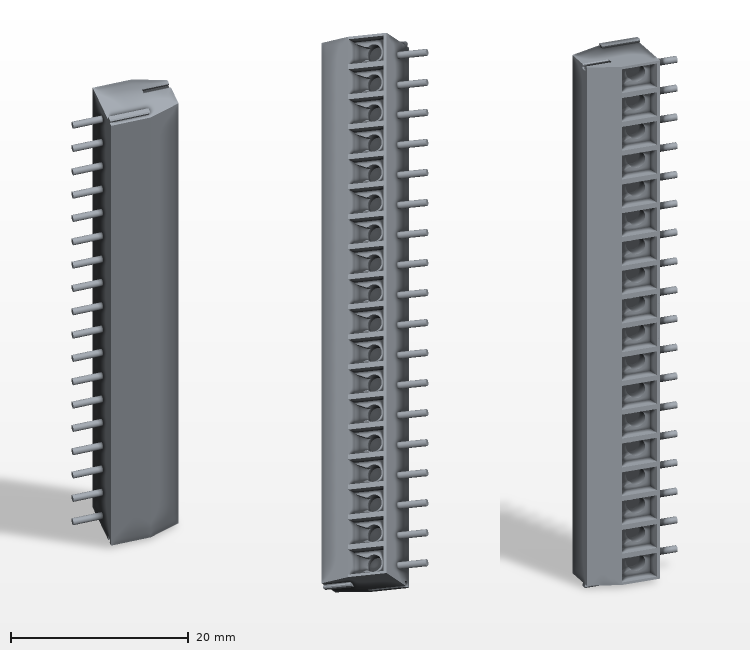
import cadquery as cq

POLES = 18
PITCH = 3.5

BODY_LENGTH = POLES * PITCH
BODY_WIDTH = 6.8
BODY_HEIGHT = 8.4
SHOULDER_HEIGHT = 4.68
TOP_WIDTH = 4.1
PIN_OFFSET = 0.1
BODY_LEFT = -BODY_WIDTH / 2 - PIN_OFFSET
BODY_RIGHT = BODY_LEFT + BODY_WIDTH
TAPER = (BODY_WIDTH - TOP_WIDTH) / 2

PIN_DIAMETER = 0.8
PIN_LENGTH = 3.5

POCKET_BOTTOM = 0.4
POCKET_TOP = SHOULDER_HEIGHT
POCKET_WIDTH = 2.9
POCKET_DEPTH = 1.5
POCKET_DRAFT = 0.2
FLOOR_TOP = POCKET_TOP - POCKET_DRAFT
FLOOR_X = BODY_LEFT + POCKET_DEPTH

HOLE_DIAMETER = 2.0
HOLE_HEIGHT = 2.2
HOLE_DEPTH = 1.5
FUNNEL_DEPTH = 0.8
FUNNEL_RAMP = 0.32
FUNNEL_THROAT_HEIGHT = 3.1
FUNNEL_MOUTH_WIDTH = 2.6
FUNNEL_THROAT_WIDTH = 1.5

RIB_HEIGHT = 0.48
GROOVE_DEPTH = 0.58
TIP_CHAMFER_HEIGHT = 0.15
DOVETAIL_SHOULDER_WIDTH = 0.85
DOVETAIL_TIP_WIDTH = 0.6
DOVETAIL_NECK_WIDTH = 0.5
DOVETAIL_END_SLANT = 0.18
LOWER_DOVETAIL_X = BODY_RIGHT - 0.77
LOWER_DOVETAIL_LENGTH = 4.75
UPPER_DOVETAIL_X = BODY_LEFT + 2.2
UPPER_DOVETAIL_LENGTH = 3.4
UPPER_GROOVE_MOUTH_WIDTH = 0.9
UPPER_GROOVE_MOUTH_DEPTH = 0.12


def make_housing():
    """Housing section with tapered upper flanks, extruded along Z."""
    section = [
        (BODY_LEFT, 0),
        (BODY_RIGHT, 0),
        (BODY_RIGHT, SHOULDER_HEIGHT),
        (BODY_RIGHT - TAPER, BODY_HEIGHT),
        (BODY_LEFT + TAPER, BODY_HEIGHT),
        (BODY_LEFT, SHOULDER_HEIGHT),
    ]
    return cq.Workplane("XY").polyline(section).close().extrude(BODY_LENGTH)


def make_pocket(pole_z):
    """Rectangular pocket in the -X side; its Y walls lean in towards the floor."""
    section = [
        (BODY_LEFT, POCKET_BOTTOM),
        (FLOOR_X, POCKET_BOTTOM + POCKET_DRAFT),
        (FLOOR_X, FLOOR_TOP),
        (BODY_LEFT, POCKET_TOP),
    ]
    start = cq.Workplane("XY").workplane(offset=pole_z - POCKET_WIDTH / 2)
    return start.polyline(section).close().extrude(POCKET_WIDTH)


def make_wire_hole(pole_z):
    """Blind round hole in the pocket floor."""
    plane = cq.Workplane("YZ", origin=(FLOOR_X, 0, 0))
    return plane.center(HOLE_HEIGHT, pole_z).circle(HOLE_DIAMETER / 2).extrude(HOLE_DEPTH)


def make_funnel(pole_z):
    """Shallow funnel from the pocket's upper wall to the wire hole, with a ramped upper end."""
    half_mouth = FUNNEL_MOUTH_WIDTH / 2
    half_throat = FUNNEL_THROAT_WIDTH / 2
    outline = [
        (FLOOR_TOP, pole_z - half_mouth),
        (FLOOR_TOP, pole_z + half_mouth),
        (FUNNEL_THROAT_HEIGHT, pole_z + half_throat),
        (HOLE_HEIGHT, pole_z + half_throat),
        (HOLE_HEIGHT, pole_z - half_throat),
        (FUNNEL_THROAT_HEIGHT, pole_z - half_throat),
    ]
    side = [
        (FLOOR_X, FLOOR_TOP),
        (FLOOR_X + FUNNEL_DEPTH, FLOOR_TOP - FUNNEL_RAMP),
        (FLOOR_X + FUNNEL_DEPTH, HOLE_HEIGHT),
        (FLOOR_X, HOLE_HEIGHT),
    ]
    plan = cq.Workplane("YZ", origin=(FLOOR_X, 0, 0)).polyline(outline).close().extrude(FUNNEL_DEPTH)
    start = cq.Workplane("XY").workplane(offset=pole_z - half_mouth)
    return plan.intersect(start.polyline(side).close().extrude(FUNNEL_MOUTH_WIDTH))


def make_pin(pole_z):
    """Round solder pin below the housing."""
    return cq.Workplane("XZ").center(0, pole_z).circle(PIN_DIAMETER / 2).extrude(PIN_LENGTH)


def make_dovetail(center_x, root_z, height, open_y, inner_y):
    """Dovetail bar standing on root_z towards +Z, flush at open_y, slanted at its inner end."""
    tip_z = root_z + height
    half_neck = DOVETAIL_NECK_WIDTH / 2
    half_shoulder = DOVETAIL_SHOULDER_WIDTH / 2
    half_tip = DOVETAIL_TIP_WIDTH / 2
    shoulder_z = tip_z - TIP_CHAMFER_HEIGHT
    profile = [
        (center_x - half_neck, root_z),
        (center_x + half_neck, root_z),
        (center_x + half_shoulder, shoulder_z),
        (center_x + half_tip, tip_z),
        (center_x - half_tip, tip_z),
        (center_x - half_shoulder, shoulder_z),
    ]
    inward = 1 if inner_y > open_y else -1
    side = [
        (open_y, root_z),
        (inner_y - inward * DOVETAIL_END_SLANT, root_z),
        (inner_y, tip_z),
        (open_y, tip_z),
    ]
    bar = cq.Workplane("XZ", origin=(0, BODY_HEIGHT, 0)).polyline(profile).close().extrude(BODY_HEIGHT)
    start = cq.Workplane("YZ", origin=(center_x - half_shoulder, 0, 0))
    return bar.intersect(start.polyline(side).close().extrude(DOVETAIL_SHOULDER_WIDTH))


def mirror_to(dovetail, face_z):
    """Flip a dovetail that stands on face_z so that it hangs below it."""
    return dovetail.mirror("XY", (0, 0, face_z))


def lower_dovetail(root_z, height):
    """Dovetail near the +X side, open at the pin face."""
    return make_dovetail(LOWER_DOVETAIL_X, root_z, height, 0, LOWER_DOVETAIL_LENGTH)


def upper_dovetail(root_z, height):
    """Dovetail left of centre, open at the narrow +Y face."""
    inner_y = BODY_HEIGHT - UPPER_DOVETAIL_LENGTH
    return make_dovetail(UPPER_DOVETAIL_X, root_z, height, BODY_HEIGHT, inner_y)


def upper_groove_mouth():
    """Flared mouth that eases the edges of the upper groove in the +Z face."""
    half_mouth = UPPER_GROOVE_MOUTH_WIDTH / 2
    half_neck = DOVETAIL_NECK_WIDTH / 2
    bottom_z = BODY_LENGTH - UPPER_GROOVE_MOUTH_DEPTH
    profile = [
        (UPPER_DOVETAIL_X - half_mouth, BODY_LENGTH),
        (UPPER_DOVETAIL_X + half_mouth, BODY_LENGTH),
        (UPPER_DOVETAIL_X + half_neck, bottom_z),
        (UPPER_DOVETAIL_X - half_neck, bottom_z),
    ]
    length = UPPER_DOVETAIL_LENGTH - DOVETAIL_END_SLANT
    start = cq.Workplane("XZ", origin=(0, BODY_HEIGHT, 0))
    return start.polyline(profile).close().extrude(length)


part = make_housing()
for pole in range(POLES):
    pole_z = (pole + 0.5) * PITCH
    part = part.cut(make_pocket(pole_z))
    part = part.cut(make_wire_hole(pole_z))
    part = part.cut(make_funnel(pole_z))
    part = part.union(make_pin(pole_z))

part = part.union(lower_dovetail(BODY_LENGTH, RIB_HEIGHT))
part = part.cut(mirror_to(upper_dovetail(BODY_LENGTH, GROOVE_DEPTH), BODY_LENGTH))
part = part.cut(upper_groove_mouth())
part = part.union(mirror_to(upper_dovetail(0, RIB_HEIGHT), 0))
part = part.cut(lower_dovetail(0, GROOVE_DEPTH))

result = part